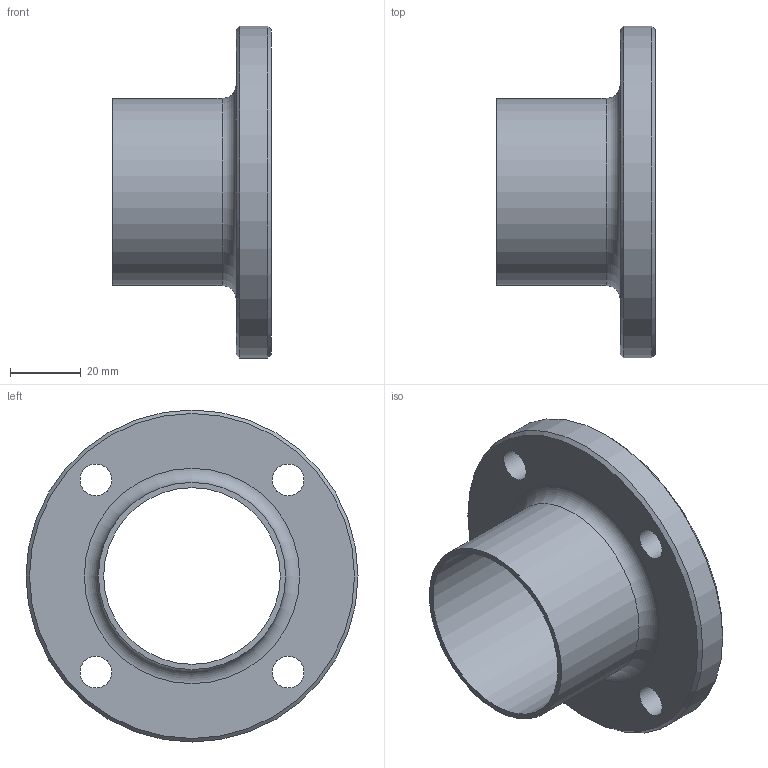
import cadquery as cq

total_length = 45.0
bore_diameter = 50.0
tube_diameter = 53.0
flange_diameter = 94.0
flange_thickness = 10.0
flange_chamfer = 1.0
neck_fillet = 4.0
bolt_circle_diameter = 77.0
bolt_hole_diameter = 9.0
bolt_hole_count = 4
first_bolt_angle = 45.0

tube_length = total_length - flange_thickness


def make_body():
    """Revolve the half section of tube, neck fillet, chamfered flange and bore about X."""
    bore_radius = bore_diameter / 2
    tube_radius = tube_diameter / 2
    flange_radius = flange_diameter / 2
    section = (
        cq.Workplane("XY")
        .moveTo(0, bore_radius)
        .lineTo(0, tube_radius)
        .lineTo(tube_length - neck_fillet, tube_radius)
        .radiusArc((tube_length, tube_radius + neck_fillet), -neck_fillet)
        .lineTo(tube_length, flange_radius - flange_chamfer)
        .lineTo(tube_length + flange_chamfer, flange_radius)
        .lineTo(total_length - flange_chamfer, flange_radius)
        .lineTo(total_length, flange_radius - flange_chamfer)
        .lineTo(total_length, bore_radius)
        .close()
    )
    return section.revolve(360, (0, 0, 0), (1, 0, 0))


def make_bolt_holes():
    """Cylinders that pass through the flange, evenly spaced on the bolt circle."""
    return (
        cq.Workplane("YZ", origin=(tube_length, 0, 0))
        .polarArray(bolt_circle_diameter / 2, first_bolt_angle, 360, bolt_hole_count)
        .circle(bolt_hole_diameter / 2)
        .extrude(flange_thickness)
    )


result = make_body().cut(make_bolt_holes())